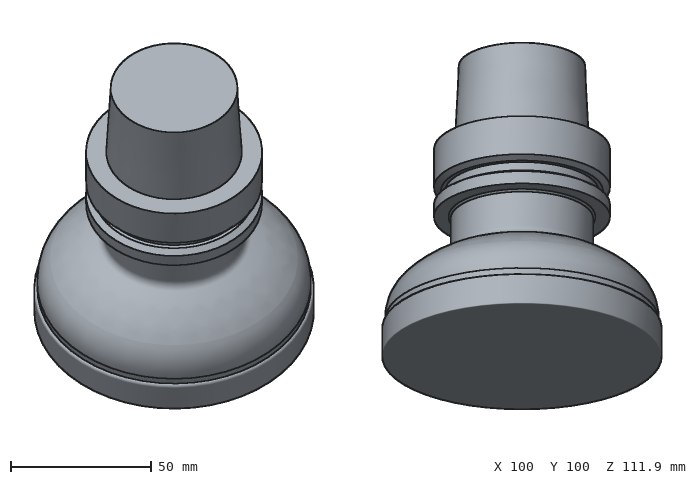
import cadquery as cq
import math

total_height = 111.9

taper_length = 32.0
taper_ratio = 0.1
taper_base_radius = 48.5 / 2
taper_top_radius = taper_base_radius - taper_length * taper_ratio / 2

flange_width = 26.0
flange_top = total_height - taper_length
flange_bottom = flange_top - flange_width
flange_radius = 62.94 / 2

groove_floor_radius = 54.95 / 2
groove_floor_width = 3.75
groove_center = flange_top - 18.0
groove_top = groove_center + groove_floor_width / 2
groove_bottom = groove_center - groove_floor_width / 2

groove_flank_inner_radius = 58.0 / 2
groove_flank_angle = 30.0
groove_flank_depth = flange_radius - groove_flank_inner_radius
groove_flank_height = groove_flank_depth * math.tan(math.radians(groove_flank_angle))

neck_radius = 51.0 / 2
collar_radius = 52.5 / 2
collar_height = collar_radius - neck_radius
neck_bottom = 40.0

head_radius = 97.79 / 2
dome_bottom = 14.9
dome_top = 26.4
dome_top_radius = 44.2
shoulder_top = 36.9
shoulder_top_radius = 27.65

base_top = 14.1
ring_radius = 100.01 / 2
ring_top = 11.7
ring_top_rounding = ring_radius - head_radius
ring_bottom_rounding = 0.3


def turned(outline):
    """Revolve a closed radius/height outline about Z."""
    return outline.close().revolve(360, (0, 0, 0), (0, 1, 0))


def build_holder():
    """Bell-shaped head, neck, grooved flange and tapered shank."""
    outline = (
        cq.Workplane("XZ")
        .moveTo(0, base_top)
        .lineTo(head_radius, base_top)
        .lineTo(head_radius, dome_bottom)
        .tangentArcPoint((dome_top_radius, dome_top), relative=False)
        .tangentArcPoint((shoulder_top_radius, shoulder_top), relative=False)
        .tangentArcPoint((neck_radius, neck_bottom), relative=False)
        .lineTo(neck_radius, flange_bottom - collar_height)
        .lineTo(collar_radius, flange_bottom)
        .lineTo(flange_radius, flange_bottom)
        .lineTo(flange_radius, groove_bottom - groove_flank_height)
        .lineTo(groove_flank_inner_radius, groove_bottom)
        .lineTo(groove_floor_radius, groove_bottom)
        .lineTo(groove_floor_radius, groove_top)
        .lineTo(groove_flank_inner_radius, groove_top)
        .lineTo(flange_radius, groove_top + groove_flank_height)
        .lineTo(flange_radius, flange_top)
        .lineTo(taper_base_radius, flange_top)
        .lineTo(taper_top_radius, total_height)
        .lineTo(0, total_height)
    )
    return turned(outline)


def build_base():
    """Round base whose ring is rounded at its upper and lower rims."""
    outline = (
        cq.Workplane("XZ")
        .moveTo(0, 0)
        .lineTo(ring_radius - ring_bottom_rounding, 0)
        .tangentArcPoint((ring_bottom_rounding, ring_bottom_rounding))
        .lineTo(ring_radius, ring_top - ring_top_rounding)
        .tangentArcPoint((-ring_top_rounding, ring_top_rounding))
        .lineTo(head_radius, base_top)
        .lineTo(0, base_top)
    )
    return turned(outline)


holder = build_holder()
base = build_base()

result = cq.Compound.makeCompound([holder.val(), base.val()])